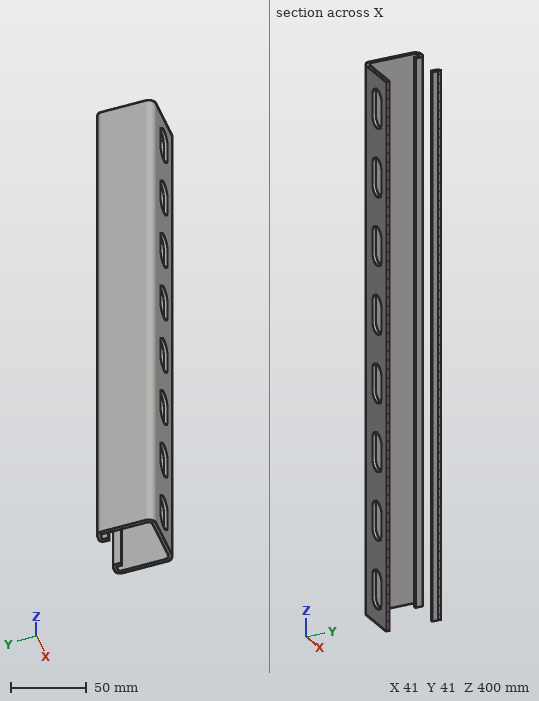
import cadquery as cq

length = 400.0
width = 41.0
depth = 41.0
thickness = 2.5
mouth_width = 22.0
lip_depth = 6.5
back_bend_radius = 5.0
shoulder_bend_radius = 4.0
lip_bend_radius = 3.0

slot_count = 8
slot_pitch = length / slot_count
slot_width = 13.0
slot_length = 28.0


def channel():
    """C-shaped strip with inward lips, extruded along Z; back at -Y, mouth at +Y."""
    outer_x = width / 2
    inner_x = outer_x - thickness
    lip_inner_x = mouth_width / 2
    lip_outer_x = lip_inner_x + thickness
    back_y = -depth / 2
    front_y = depth / 2
    lip_end_y = front_y - lip_depth

    section = (
        cq.Workplane("XY")
        .polyline([
            (-outer_x, back_y),
            (outer_x, back_y),
            (outer_x, front_y),
            (lip_inner_x, front_y),
            (lip_inner_x, lip_end_y),
            (lip_outer_x, lip_end_y),
            (lip_outer_x, front_y - thickness),
            (inner_x, front_y - thickness),
            (inner_x, back_y + thickness),
            (-inner_x, back_y + thickness),
            (-inner_x, front_y - thickness),
            (-lip_outer_x, front_y - thickness),
            (-lip_outer_x, lip_end_y),
            (-lip_inner_x, lip_end_y),
            (-lip_inner_x, front_y),
            (-outer_x, front_y),
        ])
        .close()
        .extrude(length)
    )

    bends = [
        (outer_x, back_y, inner_x, back_y + thickness, back_bend_radius),
        (outer_x, front_y, inner_x, front_y - thickness, shoulder_bend_radius),
        (lip_inner_x, front_y, lip_outer_x, front_y - thickness, lip_bend_radius),
    ]
    for convex_x, convex_y, concave_x, concave_y, radius in bends:
        for side in (-1, 1):
            section = round_corner(section, side * convex_x, convex_y, radius)
            section = round_corner(section, side * concave_x, concave_y, radius - thickness)
    return section


def round_corner(body, x, y, radius):
    """Fillet the vertical edge that stands at (x, y)."""
    edge_point = (x, y, length / 2)
    return body.edges("|Z").edges(cq.NearestToPointSelector(edge_point)).fillet(radius)


def back_slots():
    """Row of upright slots that cut through the back only."""
    first_z = slot_pitch / 2
    centers = [(0, first_z + i * slot_pitch) for i in range(slot_count)]
    return (
        cq.Workplane("XZ", origin=(0, -depth / 2 + thickness, 0))
        .pushPoints(centers)
        .slot2D(slot_length, slot_width, 90)
        .extrude(thickness)
    )


result = channel().cut(back_slots())